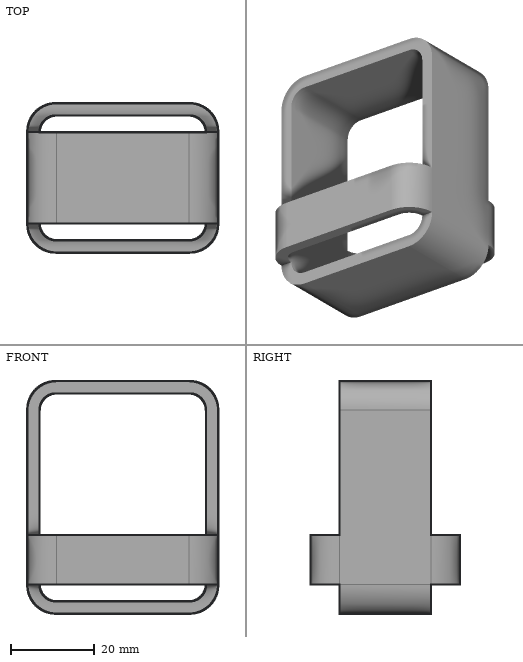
import cadquery as cq

width = 46.0
depth = 36.0
height = 56.0

wall = 3.0
corner_radius = 7.0
inner_radius = corner_radius - wall

strap_width = depth - 2 * corner_radius
band_height = 12.0
band_bottom = corner_radius


def rounded_block(length, breadth, thickness, radius):
    """Block standing on Z = 0 with its four upright edges rounded."""
    return cq.Workplane("XY").rect(length, breadth).extrude(thickness).edges("|Z").fillet(radius)


def rounded_loop(breadth, thickness):
    """Closed loop of constant wall, as wide as the part, standing on Z = 0."""
    outer = rounded_block(width, breadth, thickness, corner_radius)
    opening = rounded_block(width - 2 * wall, breadth - 2 * wall, thickness, inner_radius)
    return outer.cut(opening)


strap = rounded_loop(height, strap_width)
strap = strap.rotate((0, 0, 0), (1, 0, 0), 90)
strap = strap.translate((0, strap_width / 2, height / 2))

band = rounded_loop(depth, band_height).translate((0, 0, band_bottom))

result = strap.union(band)